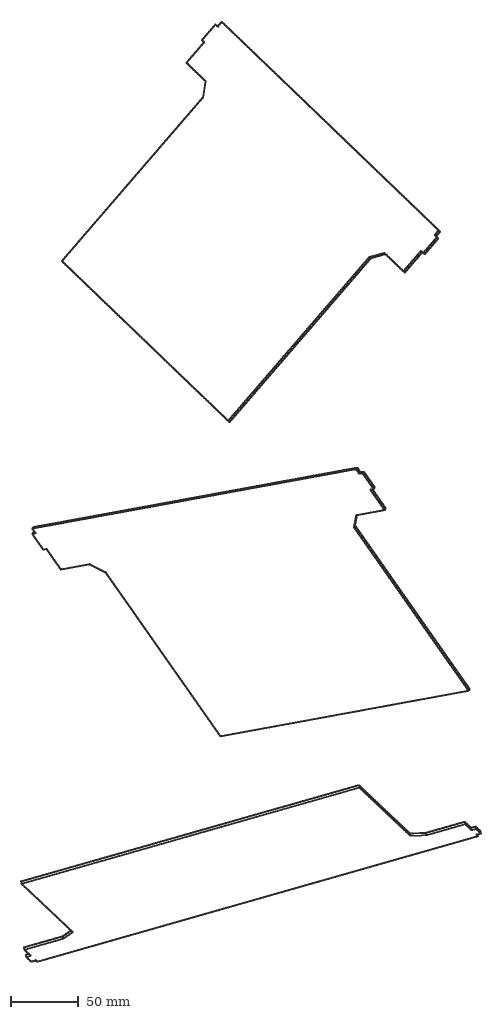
import cadquery as cq

overall_width = 351.0
plate_length = 210.0
thickness = 2.0
tilt_angle = 42.5

tab_reach = 3.5
tab_start = 4.5
tab_end = 20.0

head_depth = 40.0
stem_width = 263.5
corner_width = 10.0
corner_depth = 10.0

head_half = overall_width / 2 - tab_reach
stem_half = stem_width / 2


def head_and_stem():
    """Half outline from the top edge down to the foot, mirrored and extruded."""
    half_outline = [
        (0, 0),
        (head_half, 0),
        (head_half, -head_depth),
        (stem_half + corner_width, -head_depth),
        (stem_half, -head_depth - corner_depth),
        (stem_half, -plate_length),
        (0, -plate_length),
    ]
    half = cq.Workplane("XY").polyline(half_outline).close().extrude(thickness)
    return half.union(half.mirror("YZ")).clean()


def end_tabs():
    """One bar across the head whose ends stand out as the tabs."""
    return cq.Workplane("XY").box(
        overall_width, tab_end - tab_start, thickness, centered=(True, True, False)
    ).translate((0, -(tab_start + tab_end) / 2, 0))


plate = head_and_stem().union(end_tabs()).clean()

result = plate.rotate((0, 0, 0), (1, 0, 0), tilt_angle)